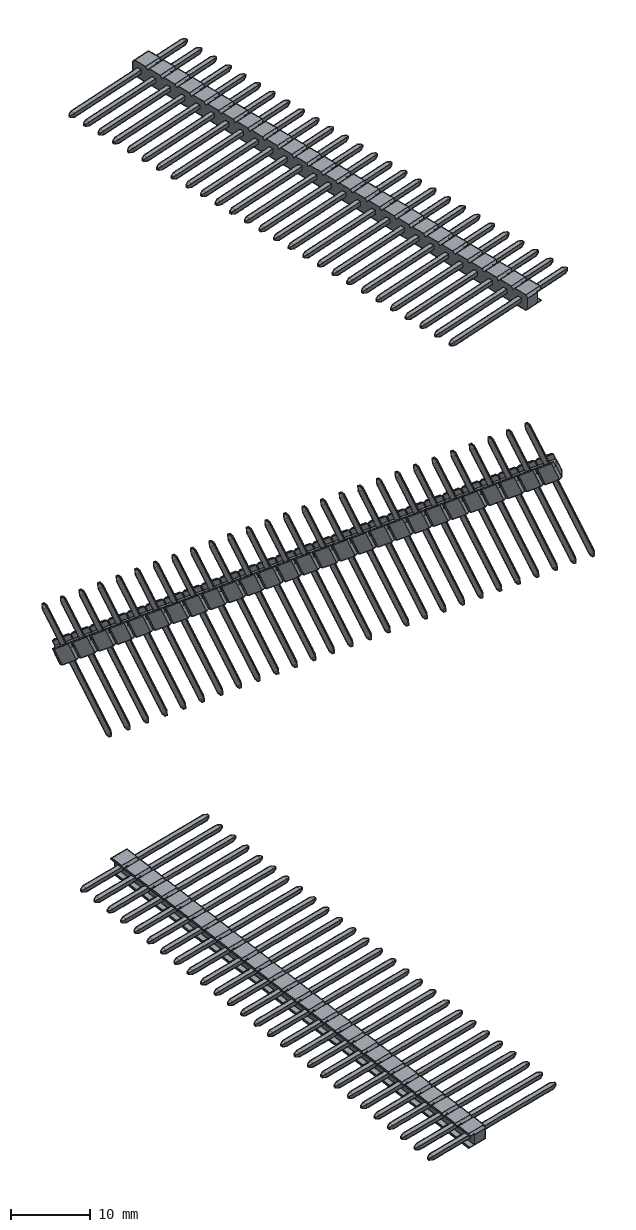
import cadquery as cq

pin_count = 27
row_length = 68.6
pitch = row_length / pin_count

body_depth = 2.55
side_height = 1.7
chamfer_width = 0.31
chamfer_height = 0.39
body_height = side_height + 2 * chamfer_height
channel_depth = 0.75
channel_height = 1.85

pin_length = 21.1
pin_width = 0.64
pin_front_length = 12.6
pin_shift = -0.1
tip_length = 0.53
tip_width = 0.315

body_front = -pin_length / 2 + pin_front_length
body_back = body_front + body_depth


def make_block():
    """One block of the bar, with sloping corners and the channel along its back."""
    side = pitch / 2
    flat = side - chamfer_width
    shoulder = side_height / 2
    top = body_height / 2
    block = (
        cq.Workplane("XZ", origin=(0, body_front, 0))
        .moveTo(-side, -shoulder)
        .lineTo(-side, shoulder)
        .lineTo(-flat, top)
        .lineTo(flat, top)
        .lineTo(side, shoulder)
        .lineTo(side, -shoulder)
        .lineTo(flat, -top)
        .lineTo(-flat, -top)
        .close()
        .extrude(-body_depth)
    )
    channel = cq.Workplane("XY").box(pitch, channel_depth, channel_height)
    return block.cut(channel.translate((0, body_back - channel_depth / 2, 0)))


def make_pin():
    """One square pin with a tapered tip at each end."""
    shank_length = pin_length - 2 * tip_length
    shank = cq.Workplane("XY").box(pin_width, shank_length, pin_width)
    tip = (
        cq.Workplane("XZ", origin=(0, -shank_length / 2, 0))
        .rect(pin_width, pin_width)
        .workplane(offset=tip_length)
        .rect(tip_width, tip_width)
        .loft()
    )
    return shank.union(tip).union(tip.mirror("XZ")).translate((pin_shift, 0, 0))


position = make_block().union(make_pin()).val()

result = (
    cq.Workplane("XY")
    .rarray(pitch, 0.7, pin_count, 1)
    .eachpoint(lambda place: position.moved(place))
    .combine()
)